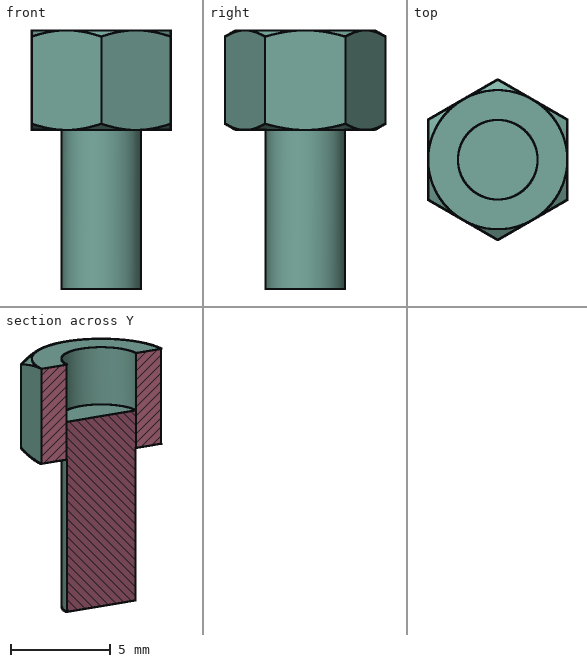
import cadquery as cq
import math

total_height = 13.0
nut_height = 5.0
across_flats = 7.0
stud_diameter = 4.0
stud_engagement = 2.0
chamfer_angle = 30.0

nut_bottom = total_height - nut_height
across_corners = across_flats / math.cos(math.radians(30))
flat_radius = across_flats / 2
corner_radius = across_corners / 2
chamfer_drop = (corner_radius - flat_radius) * math.tan(math.radians(chamfer_angle))
stud_length = nut_bottom + stud_engagement


def make_chamfer_envelope():
    """Turned blank whose conical ends trim the hexagon's corners."""
    profile = [
        (0, nut_bottom),
        (flat_radius, nut_bottom),
        (corner_radius, nut_bottom + chamfer_drop),
        (corner_radius, total_height - chamfer_drop),
        (flat_radius, total_height),
        (0, total_height),
    ]
    return cq.Workplane("XZ").polyline(profile).close().revolve(360, (0, 0), (0, 1))


def make_nut():
    """Hexagonal nut with flats facing X, chamfered corners and a through bore."""
    hexagon = (
        cq.Workplane("XY")
        .workplane(offset=nut_bottom)
        .transformed(rotate=(0, 0, 90))
        .polygon(6, across_corners)
        .extrude(nut_height)
    )
    chamfered = hexagon.intersect(make_chamfer_envelope())
    bore = cq.Workplane("XY").circle(stud_diameter / 2).extrude(total_height)
    return chamfered.cut(bore).solids()


def make_stud():
    """Plain round stud that ends part way up the nut's bore."""
    return cq.Workplane("XY").circle(stud_diameter / 2).extrude(stud_length)


nut = make_nut()
stud = make_stud()

result = cq.Compound.makeCompound([nut.val(), stud.val()])